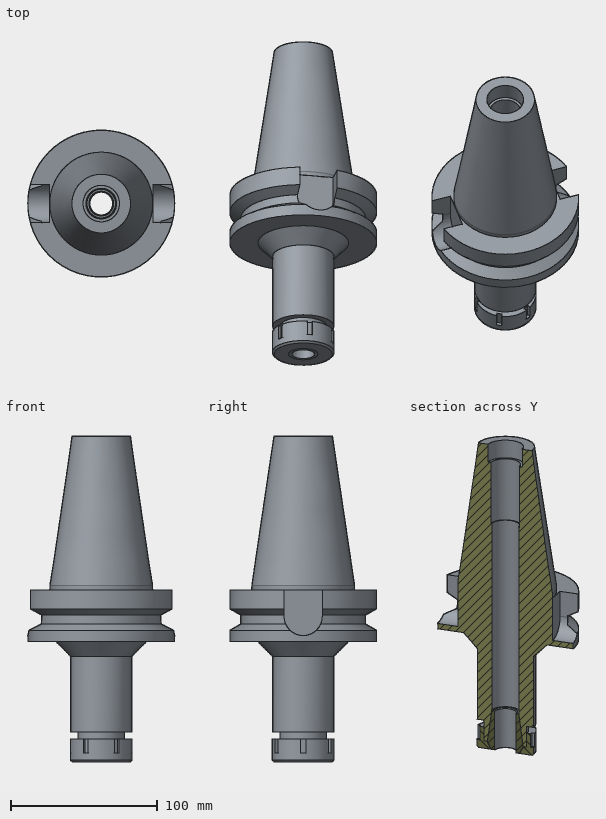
import cadquery as cq
import math


TOTAL_HEIGHT = 221.8
NOSE_END_Z = 5.3
SHANK_END_Z = 20.5
FLARE_START_Z = 71.9
FLANGE_BOTTOM_Z = 81.8
FLANGE_TOP_Z = 117.0
GAUGE_Z = 120.0

FLANGE_DIAMETER = 100.0
NOSE_RADIUS = 16.0
SHANK_RADIUS = 20.8
FLARE_TOP_RADIUS = SHANK_RADIUS + FLANGE_BOTTOM_Z - FLARE_START_Z
FLANGE_RADIUS = FLANGE_DIAMETER / 2
TAPER_LARGE_RADIUS = 35.0
TAPER_SMALL_RADIUS = 20.0

GROOVE_CENTER_Z = 97.0
GROOVE_FLOOR_RADIUS = 42.5
GROOVE_FLOOR_WIDTH = 6.0
GROOVE_WALL_ANGLE = 30.0

DRIVE_SLOT_WIDTH = 26.0
DRIVE_SLOT_FLOOR_X = 35.0
DRIVE_SLOT_BOTTOM_Z = 86.0

COUNTERBORE_RADIUS = 12.5
COUNTERBORE_DEPTH = 12.9
THREAD_BORE_RADIUS = 10.5
THREAD_BORE_DEPTH = 44.4
ARBOR_BORE_RADIUS = 9.8

NUT_RADIUS = 21.0
NUT_HEIGHT = 15.7
NUT_CHAMFER = 1.3
WRENCH_SLOT_COUNT = 6
WRENCH_SLOT_WIDTH = 3.5
WRENCH_SLOT_LENGTH = 9.8
WRENCH_SLOT_FLOOR_RADIUS = 18.9

COLLET_FRONT_RADIUS = 10.0
COLLET_MAX_RADIUS = 13.0
COLLET_TAPER_ANGLE = 8.0
COLLET_BORE_RADIUS = 7.8
COLLET_BORE_CHAMFER = 0.7
COLLET_TAPER_STEP = COLLET_MAX_RADIUS - ARBOR_BORE_RADIUS
COLLET_TOP_Z = NOSE_END_Z + COLLET_TAPER_STEP / math.tan(math.radians(COLLET_TAPER_ANGLE))


def revolve_profile(profile):
    """Turn a closed (radius, height) profile around the Z axis."""
    return profile.close().revolve(360, (0, 0, 0), (0, 1, 0))


def cylinder_between(radius, bottom_z, top_z):
    return cq.Workplane("XY").workplane(offset=bottom_z).circle(radius).extrude(top_z - bottom_z)


def make_collet_envelope():
    """Double cone of the collet, widest at the end of the arbor nose."""
    profile = (
        cq.Workplane("YZ")
        .moveTo(0, 0)
        .lineTo(COLLET_FRONT_RADIUS, 0)
        .lineTo(COLLET_MAX_RADIUS, NOSE_END_Z)
        .lineTo(ARBOR_BORE_RADIUS, COLLET_TOP_Z)
        .lineTo(0, COLLET_TOP_Z)
    )
    return revolve_profile(profile)


def make_arbor_blank():
    groove_rise = (FLANGE_RADIUS - GROOVE_FLOOR_RADIUS) * math.tan(math.radians(GROOVE_WALL_ANGLE))
    floor_bottom_z = GROOVE_CENTER_Z - GROOVE_FLOOR_WIDTH / 2
    floor_top_z = GROOVE_CENTER_Z + GROOVE_FLOOR_WIDTH / 2
    profile = (
        cq.Workplane("YZ")
        .moveTo(0, NOSE_END_Z)
        .lineTo(NOSE_RADIUS, NOSE_END_Z)
        .lineTo(NOSE_RADIUS, SHANK_END_Z)
        .lineTo(SHANK_RADIUS, SHANK_END_Z)
        .lineTo(SHANK_RADIUS, FLARE_START_Z)
        .lineTo(FLARE_TOP_RADIUS, FLANGE_BOTTOM_Z)
        .lineTo(FLANGE_RADIUS, FLANGE_BOTTOM_Z)
        .lineTo(FLANGE_RADIUS, floor_bottom_z - groove_rise)
        .lineTo(GROOVE_FLOOR_RADIUS, floor_bottom_z)
        .lineTo(GROOVE_FLOOR_RADIUS, floor_top_z)
        .lineTo(FLANGE_RADIUS, floor_top_z + groove_rise)
        .lineTo(FLANGE_RADIUS, FLANGE_TOP_Z)
        .lineTo(TAPER_LARGE_RADIUS, FLANGE_TOP_Z)
        .lineTo(TAPER_LARGE_RADIUS, GAUGE_Z)
        .lineTo(TAPER_SMALL_RADIUS, TOTAL_HEIGHT)
        .lineTo(0, TOTAL_HEIGHT)
    )
    return revolve_profile(profile)


def make_drive_slot(side):
    """Round-bottomed slot cutter on the +X (side = 1) or -X (side = -1) end."""
    half_width = DRIVE_SLOT_WIDTH / 2
    arc_center_z = DRIVE_SLOT_BOTTOM_Z + half_width
    return (
        cq.Workplane("YZ")
        .workplane(offset=side * DRIVE_SLOT_FLOOR_X)
        .moveTo(-half_width, FLANGE_TOP_Z)
        .lineTo(-half_width, arc_center_z)
        .threePointArc((0, DRIVE_SLOT_BOTTOM_Z), (half_width, arc_center_z))
        .lineTo(half_width, FLANGE_TOP_Z)
        .close()
        .extrude(side * FLANGE_RADIUS)
    )


def make_arbor():
    arbor = make_arbor_blank()
    for side in (-1, 1):
        arbor = arbor.cut(make_drive_slot(side))
    counterbore_z = TOTAL_HEIGHT - COUNTERBORE_DEPTH
    thread_end_z = counterbore_z - THREAD_BORE_DEPTH
    arbor = arbor.cut(cylinder_between(COUNTERBORE_RADIUS, counterbore_z, TOTAL_HEIGHT))
    arbor = arbor.cut(cylinder_between(THREAD_BORE_RADIUS, thread_end_z, counterbore_z))
    arbor = arbor.cut(cylinder_between(ARBOR_BORE_RADIUS, COLLET_TOP_Z, thread_end_z))
    return arbor.cut(make_collet_envelope())


def make_nut():
    nut = cylinder_between(NUT_RADIUS, 0, NUT_HEIGHT).faces("<Z").chamfer(NUT_CHAMFER)
    nut = nut.cut(cylinder_between(NOSE_RADIUS, NOSE_END_Z, NUT_HEIGHT))
    nut = nut.cut(make_collet_envelope())
    wrench_slot = (
        cq.Workplane("XY")
        .workplane(offset=NUT_HEIGHT - WRENCH_SLOT_LENGTH)
        .center(WRENCH_SLOT_FLOOR_RADIUS + NUT_RADIUS / 2, 0)
        .rect(NUT_RADIUS, WRENCH_SLOT_WIDTH)
        .extrude(WRENCH_SLOT_LENGTH)
    )
    for index in range(WRENCH_SLOT_COUNT):
        angle = index * 360 / WRENCH_SLOT_COUNT
        nut = nut.cut(wrench_slot.rotate((0, 0, 0), (0, 0, 1), angle))
    return nut


def make_collet():
    collet = make_collet_envelope().cut(cylinder_between(COLLET_BORE_RADIUS, 0, COLLET_TOP_Z))
    bore_mouth = collet.faces(">Z").edges(cq.selectors.RadiusNthSelector(0))
    return bore_mouth.chamfer(COLLET_BORE_CHAMFER)


arbor = make_arbor()
nut = make_nut()
collet = make_collet()

result = cq.Compound.makeCompound([arbor.val(), nut.val(), collet.val()])